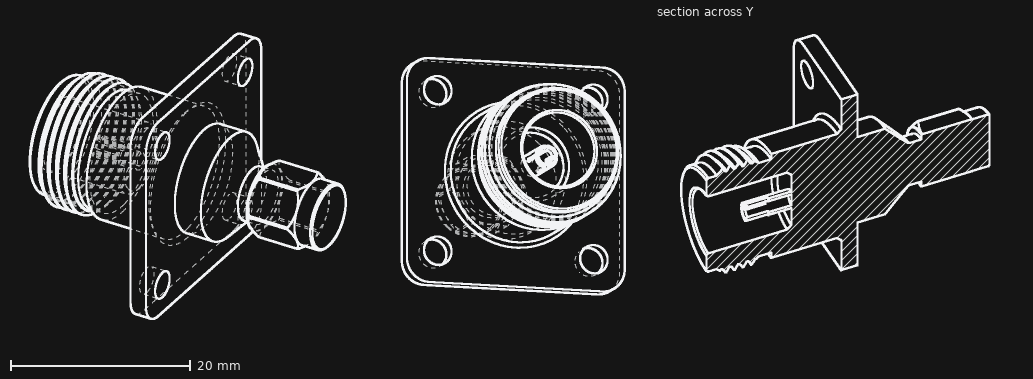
import cadquery as cq
import math

length = 34.8

barrel_diameter = 13.95
barrel_edge_chamfer = 0.25
thread_start = 1.3
thread_end = 6.45
thread_diameter = 15.73
five_turn_length = 5.3
thread_pitch = five_turn_length / 5
thread_depth = 0.65
thread_crest_width = 0.15
crest_position_at_top = 2.95

body_start = 7.97
body_diameter = 15.52
flare_start = 16.05
flange_start = 16.55
flange_end = 18.6
flare_diameter = body_diameter + 2 * (flange_start - flare_start)
flange_side = 25.4
flange_corner_radius = 2.6
mounting_hole_spacing = 18.2
mounting_hole_diameter = 3.2

back_diameter = 12.77
cone_start = 21.95
cone_end = 24.85
neck_diameter = 6.35

nut_start = 26.38
nut_end = 32.7
nut_across_flats = 7.8
nut_corner_diameter = 8.87
nut_shoulder = 0.1
collar_diameter = 7.75
collar_edge_chamfer = 0.17

mouth_diameter = 8.87
bore_diameter = 8.4
bore_floor_diameter = 7.38
bore_depth = 10.45
contact_diameter = 2.55
contact_bore_diameter = 1.53
contact_mouth_diameter = 2.1
contact_recess = 4.87
contact_slot_width = 0.3


def turned(profile):
    """Revolve (x, diameter) points, closed along the axis, about X."""
    points = [(x, diameter / 2) for x, diameter in profile]
    outline = [(points[0][0], 0)] + points + [(points[-1][0], 0)]
    return cq.Workplane("XY").polyline(outline).close().revolve(360, (0, 0, 0), (1, 0, 0))


def make_body():
    return turned([
        (0, barrel_diameter - 2 * barrel_edge_chamfer),
        (barrel_edge_chamfer, barrel_diameter),
        (body_start, barrel_diameter),
        (body_start, body_diameter),
        (flare_start, body_diameter),
        (flange_start, flare_diameter),
        (flange_end, flare_diameter),
        (flange_end, back_diameter),
        (cone_start, back_diameter),
        (cone_end, neck_diameter),
        (nut_start, neck_diameter),
        (nut_start, collar_diameter),
        (length - collar_edge_chamfer, collar_diameter),
        (length, collar_diameter - 2 * collar_edge_chamfer),
    ])


def make_thread():
    """Ring with 45 degree ends, cut by a right-hand helical 60 degree V groove."""
    end_bevel = (thread_diameter - barrel_diameter) / 2
    ring = turned([
        (thread_start, barrel_diameter),
        (thread_start + end_bevel, thread_diameter),
        (thread_end - end_bevel, thread_diameter),
        (thread_end, barrel_diameter),
    ])

    turns = math.ceil((thread_end - thread_start) / thread_pitch) + 2
    groove_start = crest_position_at_top - 2.5 * thread_pitch
    crest_radius = thread_diameter / 2
    root_radius = crest_radius - thread_depth
    flank_slope = math.tan(math.radians(30))
    overshoot = 0.07
    boolean_tolerance = 0.001
    crest_half_gap = (thread_pitch - thread_crest_width) / 2
    root_half_gap = crest_half_gap - thread_depth * flank_slope
    outer_half_gap = crest_half_gap + overshoot * flank_slope

    helix = cq.Wire.makeHelix(thread_pitch, turns * thread_pitch, root_radius)
    groove = (
        cq.Workplane("XZ")
        .polyline([
            (root_radius, -root_half_gap),
            (crest_radius + overshoot, -outer_half_gap),
            (crest_radius + overshoot, outer_half_gap),
            (root_radius, root_half_gap),
        ])
        .close()
        .sweep(cq.Workplane(obj=helix), isFrenet=True)
        .rotate((0, 0, 0), (0, 1, 0), 90)
        .rotate((0, 0, 0), (1, 0, 0), 180)
        .translate((groove_start, 0, 0))
    )
    return ring.cut(groove, tol=boolean_tolerance)


def make_flange():
    return (
        cq.Workplane("YZ", origin=(flange_start, 0, 0))
        .rect(flange_side, flange_side)
        .extrude(flange_end - flange_start)
        .edges("|X")
        .fillet(flange_corner_radius)
        .faces("<X")
        .workplane(origin=(flange_start, 0, 0))
        .rect(mounting_hole_spacing, mounting_hole_spacing, forConstruction=True)
        .vertices()
        .hole(mounting_hole_diameter)
    )


def make_nut():
    """Hexagon with corners on Y, its corners turned down and bevelled at 45 degrees."""
    hex_start = nut_start + nut_shoulder
    hex_end = nut_end - nut_shoulder
    bevel = (nut_corner_diameter - collar_diameter) / 2
    corner_to_corner = nut_across_flats / math.cos(math.radians(30))
    hexagon = (
        cq.Workplane("YZ", origin=(hex_start, 0, 0))
        .polygon(6, corner_to_corner)
        .extrude(hex_end - hex_start)
    )
    envelope = turned([
        (hex_start, collar_diameter),
        (hex_start + bevel, nut_corner_diameter),
        (hex_end - bevel, nut_corner_diameter),
        (hex_end, collar_diameter),
    ])
    return hexagon.intersect(envelope)


def make_bore():
    mouth_bevel = (mouth_diameter - bore_diameter) / 2
    floor_bevel = (bore_diameter - bore_floor_diameter) / 2
    return turned([
        (0, mouth_diameter),
        (mouth_bevel, bore_diameter),
        (bore_depth - floor_bevel, bore_diameter),
        (bore_depth, bore_floor_diameter),
    ])


def make_contact():
    """Hollow contact standing on the bore floor, split by two crossed slots."""
    contact_length = bore_depth - contact_recess
    tip = cq.Workplane("YZ", origin=(contact_recess, 0, 0))
    contact = tip.circle(contact_diameter / 2).extrude(contact_length)
    mouth_bevel = (contact_mouth_diameter - contact_bore_diameter) / 2
    contact = contact.cut(turned([
        (contact_recess, contact_mouth_diameter),
        (contact_recess + mouth_bevel, contact_bore_diameter),
        (bore_depth, contact_bore_diameter),
    ]))
    for slot_angle in (0, 90):
        slot = tip.transformed(rotate=(0, 0, slot_angle)).rect(contact_diameter * 2, contact_slot_width)
        contact = contact.cut(slot.extrude(contact_length / 2))
    return contact


result = (
    make_body()
    .union(make_thread())
    .union(make_flange())
    .union(make_nut())
    .cut(make_bore())
    .union(make_contact())
)